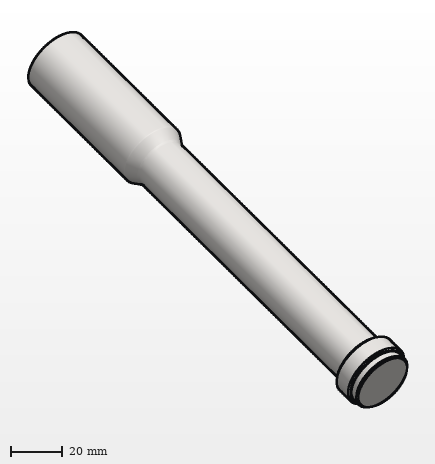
import cadquery as cq
import math

total_length = 207.6
cap_length = 3.6
collar_length = 8.6
handle_length = 61.2

handle_radius = 14.0
shaft_radius = 11.0
collar_radius = handle_radius
cap_radius = 12.75

cone_half_angle = math.radians(30)
handle_edge_fillet = 1.0
shaft_root_fillet = 2.0
collar_chamfer = 0.7
cap_edge_chamfer = 0.6

cone_end = handle_length + (handle_radius - shaft_radius) / math.tan(cone_half_angle)
cap_start = total_length - cap_length
collar_start = cap_start - collar_length


def turned(outline):
    """Solid of revolution about the X axis from (station, radius) points, closed along the axis."""
    first_station = outline[0][0]
    last_station = outline[-1][0]
    profile = [(first_station, 0), *outline, (last_station, 0)]
    return cq.Workplane("XZ").polyline(profile).close().revolve(360, (0, 0, 0), (1, 0, 0))


def handle_and_shaft():
    """Handle, cone and shaft in one piece, with both ends of the cone rounded."""
    body = turned(
        [
            (0, handle_radius),
            (handle_length, handle_radius),
            (cone_end, shaft_radius),
            (collar_start, shaft_radius),
        ]
    )
    body = body.edges(cq.selectors.RadiusNthSelector(0)).edges("<X").fillet(shaft_root_fillet)
    return body.edges(cq.selectors.RadiusNthSelector(-1)).edges(">X").fillet(handle_edge_fillet)


def collar():
    """Wide ring at the head with both rims chamfered."""
    ring = turned([(collar_start, collar_radius), (cap_start, collar_radius)])
    return ring.edges("%CIRCLE").chamfer(collar_chamfer)


def cap():
    """Short end disc beyond the collar with its outer rim chamfered."""
    disc = turned([(cap_start, cap_radius), (total_length, cap_radius)])
    return disc.faces(">X").edges().chamfer(cap_edge_chamfer)


result = handle_and_shaft().union(collar()).union(cap())